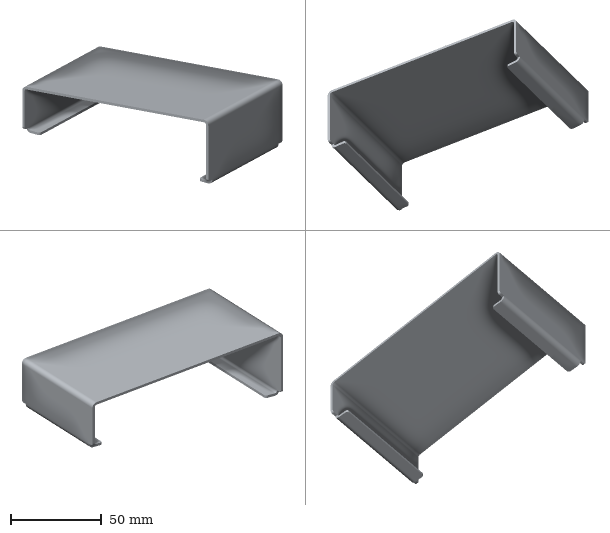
import cadquery as cq
import math

length = 126.5
width = 70.0
height = 39.5

thickness = 1.5
bend_radius = 2.9
top_slope = math.radians(5)

lip_reach = 9.1
lip_setback = 3.8
corner_radius = 1.5

margin = 0.1


def top_surface_height(x):
    """Height of the sloping outer plane, tangent to the upper right bend."""
    bend_x = length - bend_radius
    bend_z = height - bend_radius
    return bend_z + bend_radius / math.cos(top_slope) + (x - bend_x) * math.tan(top_slope)


def extruded_outline(inset):
    """Solid wedge with rounded edges, inset from the outer sheet surface."""
    corners = [
        (0, 0),
        (length, 0),
        (length, top_surface_height(length)),
        (0, top_surface_height(0)),
    ]
    sketch = cq.Workplane("XZ").polyline(corners).close()
    if inset > 0:
        sketch = sketch.offset2D(-inset, "intersection")
    wedge = sketch.extrude(width / 2, both=True)
    return wedge.edges("|Y").fillet(bend_radius - inset)


def bent_sheet():
    """Wedge-shaped shell, open at both ends and between the lips."""
    shell = extruded_outline(0).cut(extruded_outline(thickness))
    opening = cq.Workplane("XY").box(
        length - 2 * lip_reach, width, 2 * bend_radius
    ).translate((length / 2, 0, 0))
    return shell.cut(opening)


def lip_relief(x_side, y_side):
    """Block removed beside a lip, up to the start of its bend."""
    x_center = length / 2 + x_side * (length - lip_reach) / 2
    y_center = y_side * (width - lip_setback) / 2
    return (
        cq.Workplane("XY")
        .box(lip_reach, lip_setback, bend_radius, centered=(True, True, False))
        .translate((x_center, y_center, 0))
    )


def round_free_corners(body):
    """Round the lower wall corners and the free corners of the lips."""
    wall_corners = cq.selectors.BoxSelector(
        (-margin, -width, bend_radius - margin),
        (length + margin, width, bend_radius + margin),
    )
    wall_ends = body.edges("|X").edges(wall_corners).edges("<Y or >Y")
    body = wall_ends.fillet(corner_radius)

    lip_corners = cq.selectors.BoxSelector(
        (lip_reach - margin, -width, 0),
        (length - lip_reach + margin, width, thickness),
    )
    return body.edges("|Z").edges(lip_corners).fillet(corner_radius)


cover = bent_sheet()
for x_side in (-1, 1):
    for y_side in (-1, 1):
        cover = cover.cut(lip_relief(x_side, y_side))

result = round_free_corners(cover)